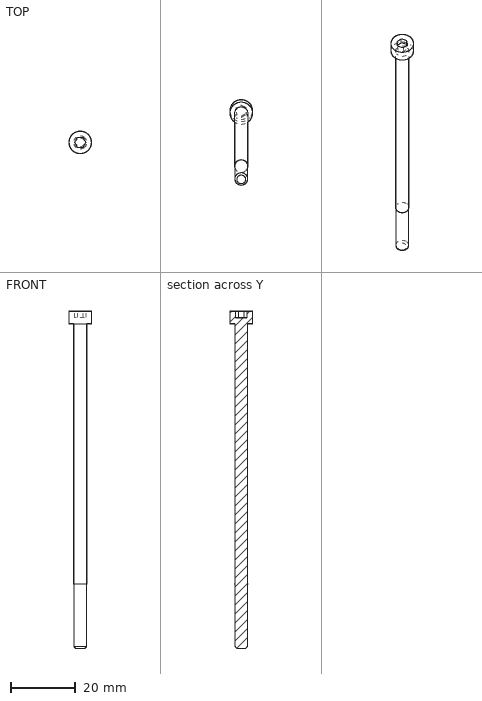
import cadquery as cq
import math

total_length = 104.0
head_diameter = 7.0
head_height = 4.0
shank_diameter = 4.1
thread_diameter = 4.0
thread_length = 20.0
tip_chamfer = 0.6
socket_flats = 3.0
socket_depth = 2.0

socket_corners = socket_flats / math.cos(math.pi / 6)
shank_length = total_length - head_height

thread = cq.Workplane("XY").circle(thread_diameter / 2).extrude(thread_length)
thread = thread.faces("<Z").chamfer(tip_chamfer)

shank = (
    cq.Workplane("XY", origin=(0, 0, thread_length))
    .circle(shank_diameter / 2)
    .extrude(shank_length - thread_length)
)

head = (
    cq.Workplane("XY", origin=(0, 0, shank_length))
    .circle(head_diameter / 2)
    .extrude(head_height)
)

socket = (
    cq.Workplane("XY", origin=(0, 0, total_length))
    .polygon(6, socket_corners)
    .extrude(-socket_depth)
)

result = thread.union(shank).union(head).cut(socket)